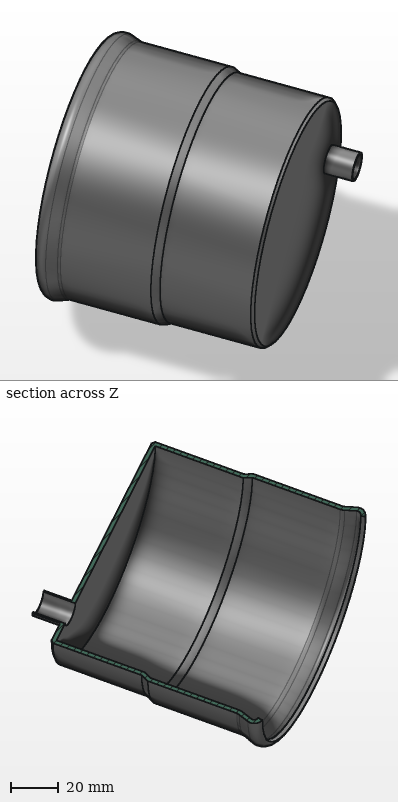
import cadquery as cq
import math

wall = 2.1
bead_top_radius = 58.0
bead_radius = 4.1
body_radius = 55.9
spigot_radius = 54.3

flare_angle = math.radians(19.4)
bead_lip_angle = math.radians(-80)
body_start = 11.3
step_start = 51.5
step_end = 55.0
cap_end = 96.5
cap_chamfer = 1.3

nipple_offset = 37.8
nipple_outer_diameter = 12.5
nipple_bore_diameter = 10.7
nipple_end = 109.0

bead_center_x = -bead_radius * math.sin(bead_lip_angle)
bead_center_r = bead_top_radius - bead_radius


def on_bead(radius, angle):
    """Point on a bead arc; the angle is measured from radially outward toward +X."""
    return (bead_center_x + radius * math.sin(angle), bead_center_r + radius * math.cos(angle))


flare_start = on_bead(bead_radius, flare_angle)
tangent_drop = flare_start[1] - (body_start - flare_start[0]) * math.tan(flare_angle)
bend_outer = (body_radius - tangent_drop) / (
    math.sin(flare_angle) * math.tan(flare_angle) - (1 - math.cos(flare_angle)))
bend_inner = bend_outer + wall
bend_center_r = body_radius + bend_outer


def on_bend(radius, angle):
    """Point on the bend between flare and body; the angle is measured from the body tangent."""
    return (body_start - radius * math.sin(angle), bend_center_r - radius * math.cos(angle))


def make_shell():
    bead_inner = bead_radius - wall
    bead_mid_angle = (bead_lip_angle + flare_angle) / 2
    step_angle = math.atan2(body_radius - spigot_radius, step_end - step_start)
    corner_shift = wall * math.tan(step_angle / 2)
    profile = (
        cq.Workplane("XY")
        .moveTo(*on_bead(bead_radius, bead_lip_angle))
        .threePointArc(on_bead(bead_radius, bead_mid_angle), flare_start)
        .lineTo(*on_bend(bend_outer, flare_angle))
        .threePointArc(on_bend(bend_outer, flare_angle / 2), on_bend(bend_outer, 0))
        .lineTo(step_start, body_radius)
        .lineTo(step_end, spigot_radius)
        .lineTo(cap_end - cap_chamfer, spigot_radius)
        .lineTo(cap_end, spigot_radius - cap_chamfer)
        .lineTo(cap_end, 0)
        .lineTo(cap_end - wall, 0)
        .lineTo(cap_end - wall, spigot_radius - wall)
        .lineTo(step_end - corner_shift, spigot_radius - wall)
        .lineTo(step_start - corner_shift, body_radius - wall)
        .lineTo(*on_bend(bend_inner, 0))
        .threePointArc(on_bend(bend_inner, flare_angle / 2), on_bend(bend_inner, flare_angle))
        .lineTo(*on_bead(bead_inner, flare_angle))
        .threePointArc(on_bead(bead_inner, bead_mid_angle), on_bead(bead_inner, bead_lip_angle))
        .close()
    )
    return profile.revolve(360, (0, 0, 0), (1, 0, 0))


def nipple_cylinder(diameter):
    """Cylinder along X from the inner face of the cap to the nipple end."""
    cap_inner = cap_end - wall
    return (
        cq.Workplane("YZ", origin=(cap_inner, nipple_offset, 0))
        .circle(diameter / 2)
        .extrude(nipple_end - cap_inner)
    )


result = (
    make_shell()
    .union(nipple_cylinder(nipple_outer_diameter))
    .cut(nipple_cylinder(nipple_bore_diameter))
)